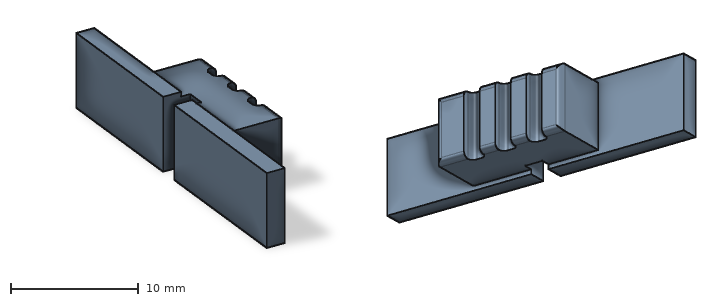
import cadquery as cq

plate_length = 28.53
plate_thickness = 1.65
plate_height = 6.6

total_depth = 6.7
block_length = 12.0
block_height = 5.75
block_start = 8.22
rear_rounding = 0.5

slot_start = 13.0
slot_width = 1.65
slot_depth_in_block = 0.83

notch_count = 3
notch_pitch = 3.0
notch_width = 1.5
notch_depth = 1.0
notch_corner_radius = 0.5
first_notch_offset = 1.83


def box_between(x_start, length, y_start, depth, height):
    """Box placed by its left and front sides, centred on Z = 0."""
    box = cq.Workplane("XY").box(length, depth, height, centered=(False, False, True))
    return box.translate((x_start, y_start, 0))


def make_plate():
    return box_between(0, plate_length, 0, plate_thickness, plate_height)


def make_block():
    """Block with all four edges of its rear face rounded."""
    block_depth = total_depth - plate_thickness
    block = box_between(block_start, block_length, plate_thickness, block_depth, block_height)
    return block.faces(">Y").edges().fillet(rear_rounding)


def make_notch(index):
    """Cutter for one notch, with its two floor edges rounded."""
    x_start = block_start + first_notch_offset + index * notch_pitch
    y_start = total_depth - notch_depth
    notch = box_between(x_start, notch_width, y_start, notch_depth, plate_height)
    return notch.faces("<Y").edges("|Z").fillet(notch_corner_radius)


def make_slot():
    slot_depth = plate_thickness + slot_depth_in_block
    return box_between(slot_start, slot_width, 0, slot_depth, plate_height)


result = make_plate().union(make_block()).cut(make_slot())
for notch_index in range(notch_count):
    result = result.cut(make_notch(notch_index))